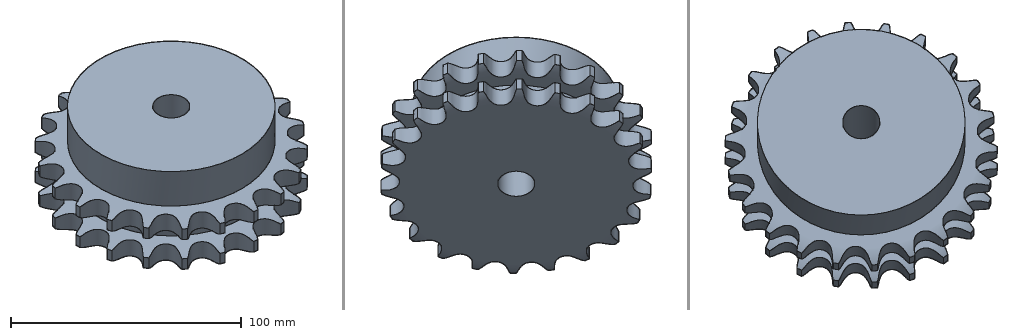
import cadquery as cq
import math


tooth_count = 22
tip_diameter = 118.0
pitch_diameter = 111.5
roller_diameter = 10.1
seat_clearance = 0.038
row_width = 9.1
row_spacing = 16.6
row_count = 2
hub_diameter = 90.0
total_height = 45.0
bore_diameter = 16.0
rim_radius = 16.0
rim_start_radius = 52.0
cut_margin = 2.4

tip_radius = tip_diameter / 2
pitch_radius = pitch_diameter / 2
tooth_angle = 360.0 / tooth_count

working_centre_offset = 0.8 * roller_diameter
topping_centre_offset = 1.4 * roller_diameter
seat_end_angle = 35 + 60 / tooth_count
working_arc_angle = 18 - 56 / tooth_count
seat_radius = 0.5025 * roller_diameter + seat_clearance
working_radius = seat_radius + working_centre_offset
flank_angle = seat_end_angle - working_arc_angle


def polar(centre, radius, degrees):
    """Point at the given radius and direction from a centre."""
    angle = math.radians(degrees)
    return (centre[0] + radius * math.cos(angle), centre[1] + radius * math.sin(angle))


def direction(start, end):
    """Direction from one point to another, in degrees."""
    return math.degrees(math.atan2(end[1] - start[1], end[0] - start[0]))


def gap_flank():
    """Right half of a tooth gap centred on +Y, as points from the seat end to the tooth tip."""
    axis = (0, 0)
    roller_centre = (0, pitch_radius)
    working_centre = polar(roller_centre, working_centre_offset, 180 - seat_end_angle)
    topping_centre = polar(roller_centre, topping_centre_offset, -tooth_angle / 2)

    seat_end = polar(roller_centre, seat_radius, -seat_end_angle)
    working_middle = polar(working_centre, working_radius, -seat_end_angle + working_arc_angle / 2)
    working_end = polar(working_centre, working_radius, -flank_angle)

    centre_distance = math.dist(working_centre, topping_centre)
    turn = math.radians(direction(working_centre, topping_centre) + flank_angle)
    straight_length = centre_distance * math.sin(turn)
    topping_radius = centre_distance * math.cos(turn) - working_radius
    straight_end = polar(working_end, straight_length, 90 - flank_angle)

    topping_distance = math.dist(axis, topping_centre)
    squares = tip_radius**2 + topping_distance**2 - topping_radius**2
    tip_offset = math.acos(squares / (2 * tip_radius * topping_distance))
    tip = polar(axis, tip_radius, direction(axis, topping_centre) + math.degrees(tip_offset))
    topping_start = direction(topping_centre, straight_end) % 360
    topping_stop = direction(topping_centre, tip) % 360
    topping_middle = polar(topping_centre, topping_radius, (topping_start + topping_stop) / 2)

    return [seat_end, working_middle, working_end, straight_end, topping_middle, tip]


def mirrored(point):
    """The point reflected across the centre line of the gap."""
    return (-point[0], point[1])


def gap_cutter():
    """Prism that cuts one tooth gap through a single row."""
    seat_end, working_middle, working_end, straight_end, topping_middle, tip = gap_flank()
    outer_y = tip_radius + cut_margin
    return (
        cq.Workplane("XY")
        .moveTo(*mirrored(seat_end))
        .threePointArc((0, pitch_radius - seat_radius), seat_end)
        .threePointArc(working_middle, working_end)
        .lineTo(*straight_end)
        .threePointArc(topping_middle, tip)
        .lineTo(tip[0], outer_y)
        .lineTo(-tip[0], outer_y)
        .lineTo(*mirrored(tip))
        .threePointArc(mirrored(topping_middle), mirrored(straight_end))
        .lineTo(*mirrored(working_end))
        .threePointArc(mirrored(working_middle), mirrored(seat_end))
        .close()
        .extrude(row_width)
    )


def row_blank():
    """Disc whose rim is narrowed on both sides by arcs tangent to its flat faces."""

    def narrowing(radius):
        return rim_radius - math.sqrt(rim_radius**2 - (radius - rim_start_radius) ** 2)

    middle_radius = (rim_start_radius + tip_radius) / 2
    return (
        cq.Workplane("XZ")
        .lineTo(rim_start_radius, 0)
        .threePointArc((middle_radius, narrowing(middle_radius)), (tip_radius, narrowing(tip_radius)))
        .lineTo(tip_radius, row_width - narrowing(tip_radius))
        .threePointArc(
            (middle_radius, row_width - narrowing(middle_radius)),
            (rim_start_radius, row_width),
        )
        .lineTo(0, row_width)
        .close()
        .revolve(360, (0, 0, 0), (0, 1, 0))
    )


def tooth_row():
    """One toothed disc with a tooth centred on +X."""
    row = row_blank()
    cutter = gap_cutter()
    for index in range(tooth_count):
        row = row.cut(cutter.rotate((0, 0, 0), (0, 0, 1), index * tooth_angle))
    return row


result = cq.Workplane("XY").circle(hub_diameter / 2).extrude(total_height)
row = tooth_row()
for index in range(row_count):
    result = result.union(row.translate((0, 0, index * row_spacing)))
bore = cq.Workplane("XY").circle(bore_diameter / 2).extrude(total_height)
result = result.cut(bore)